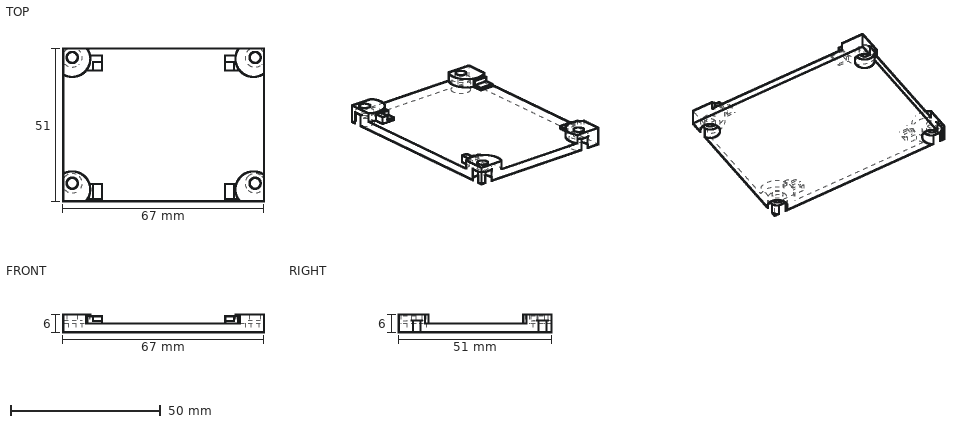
import cadquery as cq

length = 67.0
width = 51.0
plate_thickness = 3.0
total_height = 6.0

boss_radius = 6.0
boss_inset_left = 3.0
boss_inset_right = 3.55
boss_inset_front = 3.95
boss_inset_back = 3.5

hole_diameter = 3.6
hole_inset_x = 3.0
hole_inset_front = 6.0
hole_inset_back = 3.0
counterbore_radius = 3.3
counterbore_depth = 4.0

tab_size = 5.0
tab_inset_x = 8.0
tab_inset_front = 0.75
tab_inset_back = 2.4
tab_top = 5.4
step_floor = 3.9
step_length = 3.0
back_wall = 2.1


def corner_box(side_x, side_y, inset_x, inset_y, size_x, size_y, bottom, top):
    """Box whose nearest faces lie at the given insets from one plate corner."""
    center_x = side_x * (length / 2 - inset_x - size_x / 2)
    center_y = side_y * (width / 2 - inset_y - size_y / 2)
    box = cq.Workplane("XY").box(size_x, size_y, top - bottom, centered=(True, True, False))
    return box.translate((center_x, center_y, bottom))


def corner_cylinder(side_x, side_y, inset_x, inset_y, radius, height):
    """Vertical cylinder standing on the base plane near one plate corner."""
    center = (side_x * (length / 2 - inset_x), side_y * (width / 2 - inset_y))
    return cq.Workplane("XY").center(*center).circle(radius).extrude(height)


def make_boss(side_x, side_y):
    inset_x = boss_inset_left if side_x < 0 else boss_inset_right
    inset_y = boss_inset_front if side_y < 0 else boss_inset_back
    return corner_cylinder(side_x, side_y, inset_x, inset_y, boss_radius, total_height)


def make_tab(side_x, side_y):
    """Tab with a lowered step; the back tabs keep a wall along their outer edge."""
    inset_y = tab_inset_front if side_y < 0 else tab_inset_back
    wall = 0 if side_y < 0 else back_wall
    block = corner_box(
        side_x, side_y, tab_inset_x, inset_y, tab_size, tab_size, plate_thickness, tab_top
    )
    step = corner_box(
        side_x, side_y, tab_inset_x + tab_size - step_length, inset_y + wall,
        step_length, tab_size - wall, step_floor, tab_top,
    )
    return block.cut(step)


def make_hole(side_x, side_y):
    inset_y = hole_inset_front if side_y < 0 else hole_inset_back
    bore = corner_cylinder(side_x, side_y, hole_inset_x, inset_y, hole_diameter / 2, total_height)
    counterbore = corner_cylinder(
        side_x, side_y, hole_inset_x, inset_y, counterbore_radius, counterbore_depth
    )
    return bore.union(counterbore)


corners = [(side_x, side_y) for side_x in (-1, 1) for side_y in (-1, 1)]
envelope = cq.Workplane("XY").box(length, width, total_height, centered=(True, True, False))
result = cq.Workplane("XY").box(length, width, plate_thickness, centered=(True, True, False))

for corner in corners:
    result = result.union(make_boss(*corner).intersect(envelope))
    result = result.union(make_tab(*corner))

for corner in corners:
    result = result.cut(make_hole(*corner))